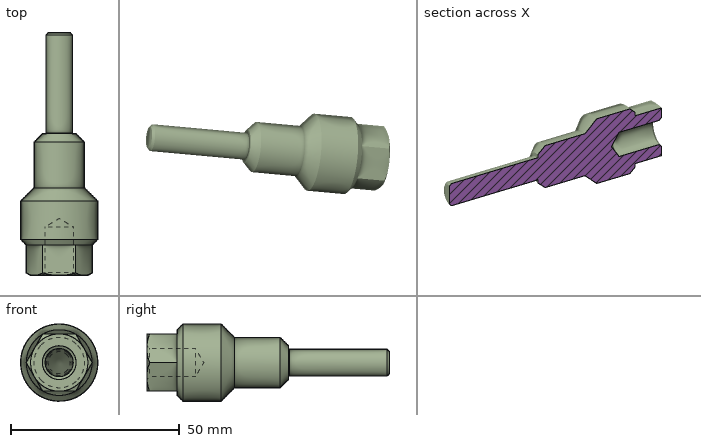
import cadquery as cq
import math

total_length = 72.0
hex_length = 9.0
collar_bevel_length = 1.7
collar_length = 11.3
collar_cone_length = 3.95
neck_length = 13.5
neck_bevel_length = 2.5
rod_tip_chamfer = 0.7
rod_root_chamfer = 0.2

collar_diameter = 23.0
neck_diameter = 15.0
neck_end_diameter = 10.0
rod_diameter = 8.0
hex_across_flats = 17.0
hex_across_corners = hex_across_flats / math.cos(math.radians(30))
hex_face_diameter = hex_across_flats
hex_chamfer_angle = 30.0

hole_diameter = 8.35
hole_mouth_diameter = 10.0
hole_depth = 14.4
drill_tip_angle = 118.0

y_front = -total_length / 2
y_back = total_length / 2
y_collar = y_front + hex_length


def revolve_about_y(points):
    """Turn a closed (radius, y) outline about the Y axis."""
    return cq.Workplane("XY").polyline(points).close().revolve(360, (0, 0, 0), (0, 1, 0))


def make_shaft():
    """Collar, neck and rod, turned as one body; the rod is chamfered at its tip and its root."""
    collar_radius = collar_diameter / 2
    neck_radius = neck_diameter / 2
    rod_radius = rod_diameter / 2
    y_collar_start = y_collar + collar_bevel_length
    y_collar_end = y_collar_start + collar_length
    y_neck_start = y_collar_end + collar_cone_length
    y_neck_end = y_neck_start + neck_length
    y_rod = y_neck_end + neck_bevel_length
    return revolve_about_y([
        (0, y_collar),
        (collar_radius - collar_bevel_length, y_collar),
        (collar_radius, y_collar_start),
        (collar_radius, y_collar_end),
        (neck_radius, y_neck_start),
        (neck_radius, y_neck_end),
        (neck_end_diameter / 2, y_rod),
        (rod_radius - rod_root_chamfer, y_rod),
        (rod_radius, y_rod + rod_root_chamfer),
        (rod_radius, y_back - rod_tip_chamfer),
        (rod_radius - rod_tip_chamfer, y_back),
        (0, y_back),
    ])


def make_hexagon():
    """Hexagon with corners on X and its front corners turned to a cone."""
    prism = (
        cq.Workplane("XZ", origin=(0, y_collar, 0))
        .polygon(6, hex_across_corners)
        .extrude(hex_length)
    )
    face_radius = hex_face_diameter / 2
    cone_radius = face_radius + hex_length / math.tan(math.radians(hex_chamfer_angle))
    envelope = revolve_about_y([
        (0, y_front),
        (face_radius, y_front),
        (cone_radius, y_collar),
        (0, y_collar),
    ])
    return prism.intersect(envelope)


def make_hole():
    """Countersunk blind hole with a conical drill tip."""
    hole_radius = hole_diameter / 2
    mouth_radius = hole_mouth_diameter / 2
    mouth_depth = mouth_radius - hole_radius
    tip_length = hole_radius / math.tan(math.radians(drill_tip_angle / 2))
    y_bottom = y_front + hole_depth
    return revolve_about_y([
        (0, y_front),
        (mouth_radius, y_front),
        (hole_radius, y_front + mouth_depth),
        (hole_radius, y_bottom),
        (0, y_bottom + tip_length),
    ])


result = make_shaft().union(make_hexagon()).cut(make_hole())